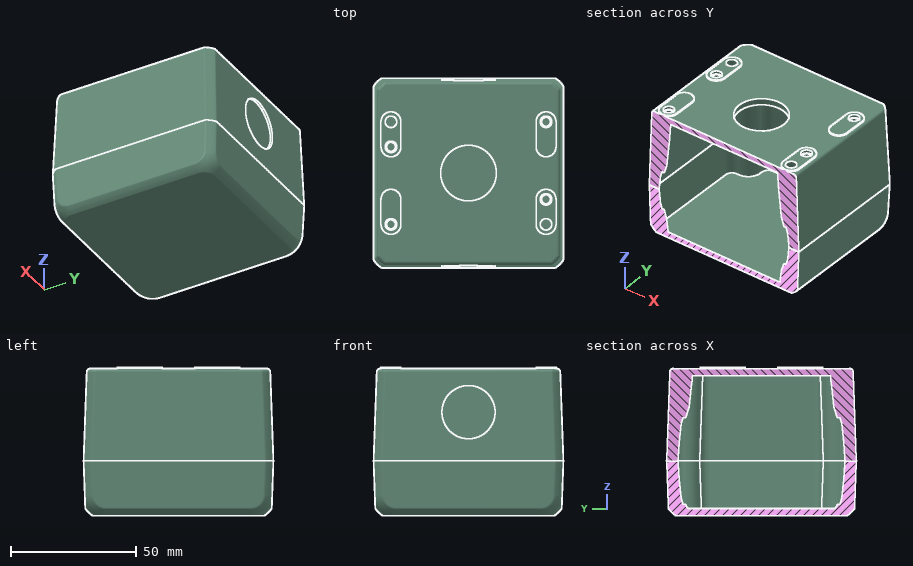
import cadquery as cq
import math

width = 76.0
half_width = width / 2
parting_height = 22.0
pad_height = 0.5
overall_height = 59.5
roof_height = overall_height - pad_height
wall = 3.0
draft = 2.0

corner_setback = 8.5
face_inset = 3.3
corner_radius = math.hypot(corner_setback, corner_setback - face_inset)
envelope_growth = corner_radius - corner_setback
face_edge_radius = 1.2
roof_edge_radius = 1.5

post_corner = 24.7
post_corner_radius = 5.5
post_root_radius = 3.7

roof_hole_diameter = 22.3
knockout_diameter = 21.3
knockout_height = 41.5
knockout_depth = 1.0

pad_width = 8.0
pad_length = 18.0
pad_x = 31.0
pad_y = 15.5
hole_offset = 5.0
hole_diameter = 4.6
stepped_hole_diameter = 3.6
counterbore_depth = 1.5
outer_hole_y = pad_y + hole_offset
inner_hole_y = pad_y - hole_offset
plain_holes = [(-pad_x, outer_hole_y), (pad_x, -outer_hole_y)]
stepped_holes = [
    (-pad_x, inner_hole_y),
    (-pad_x, -outer_hole_y),
    (pad_x, outer_hole_y),
    (pad_x, -inner_hole_y),
]


def tapered_block(half, height):
    """Square block standing on Z = 0 that narrows upwards by the draft angle."""
    return cq.Workplane("XY").rect(2 * half, 2 * half).extrude(height, taper=draft)


def rounded_block(height, end_is_rounded):
    """Solid outer shape of one body, standing on its parting plane at Z = 0.

    A rounded end has the same soft edges as the corners; a flat end has a small edge fillet.
    """
    if end_is_rounded:
        rounded_edges = "not <Z"
        envelope_height = height + envelope_growth
    else:
        rounded_edges = "not (<Z or >Z)"
        envelope_height = height
    envelope = tapered_block(half_width + envelope_growth, envelope_height)
    envelope = envelope.edges(rounded_edges).fillet(corner_radius)
    block = tapered_block(half_width, height).intersect(envelope)
    block = block.faces("%PLANE").edges(rounded_edges).fillet(face_edge_radius)
    if end_is_rounded:
        return block
    return block.faces(">Z").edges().fillet(roof_edge_radius)


def cavity(height):
    """Drafted hollow that leaves a post standing in each corner."""
    inner_half = half_width - wall
    post_size = inner_half - post_corner
    post_centre = (inner_half + post_corner) / 2
    corners = [(sx * post_centre, sy * post_centre) for sx in (-1, 1) for sy in (-1, 1)]
    inner_zone = cq.selectors.BoxSelector((-post_centre, -post_centre, -1), (post_centre, post_centre, 1))
    outline = (
        cq.Sketch()
        .rect(2 * inner_half, 2 * inner_half)
        .push(corners)
        .rect(post_size, post_size, mode="s")
        .reset()
    )
    outline = outline.vertices(inner_zone).fillet(post_corner_radius).reset()
    outline = outline.vertices("<X or >X or <Y or >Y").fillet(post_root_radius).reset()
    return cq.Workplane("XY").placeSketch(outline).extrude(height, taper=draft)


def upright_cylinder(x, y, diameter, bottom, top):
    plane = cq.Workplane("XY").workplane(offset=bottom)
    return plane.center(x, y).circle(diameter / 2).extrude(top - bottom)


def knockouts():
    """Shallow round recesses in the -Y and +Y sides, with floors parallel to the drafted sides."""
    bar = (
        cq.Workplane("XZ")
        .center(0, knockout_height)
        .circle(knockout_diameter / 2)
        .extrude(half_width, both=True)
    )
    core = tapered_block(half_width - knockout_depth, roof_height - parting_height)
    return bar.cut(core.translate((0, 0, parting_height)))


def pads():
    """Four slot-shaped pads on the roof, long side along Y."""
    return (
        cq.Workplane("XY")
        .workplane(offset=roof_height)
        .rect(2 * pad_x, 2 * pad_y, forConstruction=True)
        .vertices()
        .slot2D(pad_length, pad_width, 90)
        .extrude(pad_height)
    )


def make_base():
    shell = rounded_block(parting_height, True).cut(cavity(parting_height - wall))
    flipped = shell.rotate((0, 0, 0), (1, 0, 0), 180)
    return flipped.translate((0, 0, parting_height))


def make_housing():
    height = roof_height - parting_height
    ceiling = roof_height - wall
    shell = rounded_block(height, False).cut(cavity(height - wall))
    shell = shell.translate((0, 0, parting_height))
    shell = shell.cut(upright_cylinder(0, 0, roof_hole_diameter, ceiling, roof_height))
    shell = shell.cut(knockouts()).union(pads())
    for x, y in plain_holes:
        shell = shell.cut(upright_cylinder(x, y, hole_diameter, ceiling, overall_height))
    for x, y in stepped_holes:
        shell = shell.cut(upright_cylinder(x, y, stepped_hole_diameter, ceiling, overall_height))
        counterbore_floor = overall_height - counterbore_depth
        shell = shell.cut(upright_cylinder(x, y, hole_diameter, counterbore_floor, overall_height))
    return shell


base = make_base()
housing = make_housing()
result = cq.Compound.makeCompound([base.val(), housing.val()])